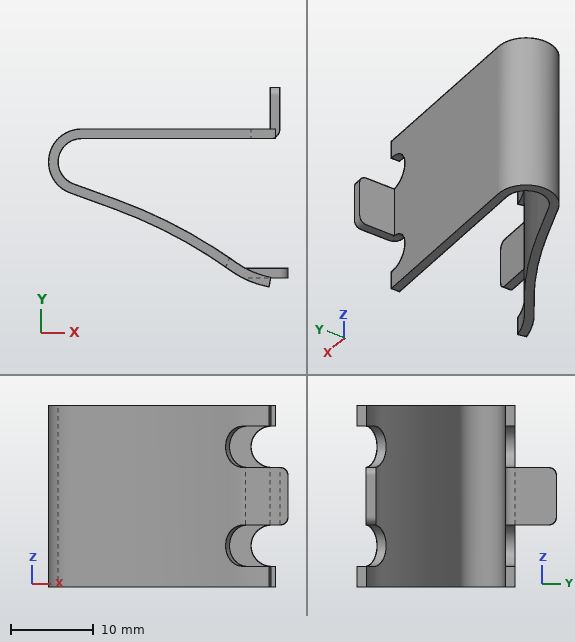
import cadquery as cq
import math

thickness = 1.2
height = 22.0
bend_radius = 4.0
plate_end_x = 23.5

leg_heading = 20
knee_heading = 35.6
tip_heading = 11
straight_length = 5.57
bow_radius = 58.87
tip_radius = 12.0

tab_height = 7.0
tab_corner_radius = 1.0
plate_tab_outer_x = 24.0
plate_tab_length = 5.02
leg_tab_end_x = 25.0
leg_tab_heading = 28.5

relief_radius = 2.5
relief_z = tab_height / 2 + relief_radius
plate_relief_x = 23.03
leg_relief_heading = 27
leg_cut_heading = 23.5
relief_reach = 17.4
cutter_depth = 4.65


def forward(heading):
    """Unit vector along the leg."""
    angle = math.radians(heading)
    return cq.Vector(math.cos(angle), -math.sin(angle))


def inward(heading):
    """Unit normal from the outer face of the leg to its inner face."""
    angle = math.radians(heading)
    return cq.Vector(math.sin(angle), math.cos(angle))


straight_start = inward(leg_heading) * -bend_radius
straight_end = straight_start + forward(leg_heading) * straight_length
bow_center = straight_end - inward(leg_heading) * bow_radius
knee = bow_center + inward(knee_heading) * bow_radius
tip_center = knee + inward(knee_heading) * tip_radius


def bow_point(heading, depth):
    return bow_center + inward(heading) * (bow_radius + depth)


def tip_point(heading, depth):
    return tip_center - inward(heading) * (tip_radius - depth)


def xy(point):
    return (point.x, point.y)


def bent_strip():
    bow_middle = (leg_heading + knee_heading) / 2
    tip_middle = (knee_heading + tip_heading) / 2
    inner_radius = bend_radius - thickness
    inner_start = straight_start + inward(leg_heading) * thickness
    return (
        cq.Workplane("XY")
        .moveTo(plate_end_x, bend_radius)
        .lineTo(0, bend_radius)
        .threePointArc((-bend_radius, 0), xy(straight_start))
        .lineTo(*xy(straight_end))
        .threePointArc(xy(bow_point(bow_middle, 0)), xy(knee))
        .threePointArc(xy(tip_point(tip_middle, 0)), xy(tip_point(tip_heading, 0)))
        .lineTo(*xy(tip_point(tip_heading, thickness)))
        .threePointArc(xy(tip_point(tip_middle, thickness)), xy(tip_point(knee_heading, thickness)))
        .threePointArc(xy(bow_point(bow_middle, thickness)), xy(bow_point(leg_heading, thickness)))
        .lineTo(*xy(inner_start))
        .threePointArc((-inner_radius, 0), (0, inner_radius))
        .lineTo(plate_end_x, inner_radius)
        .close()
        .extrude(height / 2, both=True)
    )


def cut_plane(center, heading):
    """Plane tangent to the sheet; its local Y runs along -Z."""
    return cq.Plane(origin=center, xDir=forward(heading), normal=inward(heading))


def middle_cutter(fold_point, heading):
    """Removes the sheet between the reliefs, from the fold to the free end."""
    return (
        cq.Workplane(cut_plane(fold_point, heading))
        .center(relief_reach / 2, 0)
        .rect(relief_reach, tab_height)
        .extrude(cutter_depth / 2, both=True)
    )


def relief_cutter(center, heading):
    """Pair of round-ended slots open to the free end."""
    return (
        cq.Workplane(cut_plane(center, heading))
        .pushPoints([(relief_reach / 2, -relief_z), (relief_reach / 2, relief_z)])
        .slot2D(relief_reach + 2 * relief_radius, 2 * relief_radius)
        .extrude(cutter_depth / 2, both=True)
    )


def fold(corner, start, middle, end):
    """Wedge of sheet turning about a sharp inner corner."""
    return (
        cq.Workplane("XY")
        .moveTo(*xy(corner))
        .lineTo(*xy(corner + start * thickness))
        .threePointArc(xy(corner + middle * thickness), xy(corner + end * thickness))
        .close()
        .extrude(tab_height / 2, both=True)
    )


def plate_tab(corner):
    flat = (
        cq.Workplane("XY")
        .box(thickness, plate_tab_length, tab_height, centered=(False, False, True))
        .translate(corner)
        .edges("|X and >Y")
        .fillet(tab_corner_radius)
    )
    return flat.union(fold(corner, cq.Vector(0, -1), forward(45), cq.Vector(1, 0)))


def leg_tab(corner):
    flat = (
        cq.Workplane("XY")
        .box(leg_tab_end_x - corner.x, thickness, tab_height, centered=(False, False, True))
        .translate(corner - cq.Vector(0, thickness))
        .edges("|Y and >X")
        .fillet(tab_corner_radius)
    )
    start = inward(leg_tab_heading) * -1
    middle = inward(leg_tab_heading / 2) * -1
    return flat.union(fold(corner, start, middle, cq.Vector(0, -1)))


plate_fold = cq.Vector(plate_tab_outer_x - thickness, bend_radius)
plate_relief = cq.Vector(plate_relief_x, bend_radius)
leg_fold = tip_point(leg_tab_heading, thickness)
leg_relief = tip_point(leg_relief_heading, thickness / 2)

result = (
    bent_strip()
    .cut(middle_cutter(plate_fold, 0))
    .cut(relief_cutter(plate_relief, 0))
    .cut(middle_cutter(leg_fold, leg_tab_heading))
    .cut(relief_cutter(leg_relief, leg_cut_heading))
    .union(plate_tab(plate_fold))
    .union(leg_tab(leg_fold))
)